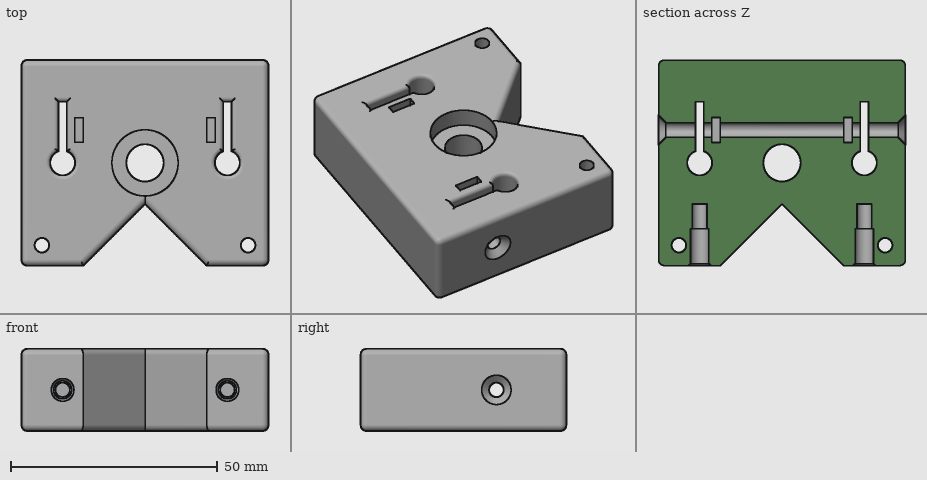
import cadquery as cq

length = 60.0
width = 50.0
height = 20.0
edge_radius = 1.5
top = height / 2
front = -width / 2

notch_half_width = 15.0

bore_diameter = 9.0
counterbore_diameter = 16.1
counterbore_depth = 5.0

keyhole_x = 20.0
keyhole_diameter = 6.0
keyhole_slot_width = 2.0
keyhole_slot_end = 14.8
keyhole_rounding = 1.0

screw_diameter = 3.5
corner_hole_x = 25.0
corner_hole_y = -20.0

cross_hole_y = 8.0
countersink_diameter = 7.15
countersink_angle = 90
nut_pocket_x = 16.0
nut_pocket_thickness = 2.0
nut_pocket_width = 6.0
nut_pocket_depth = top + nut_pocket_width / 2

front_hole_x = 20.0
front_hole_diameter = 4.4
front_hole_depth = 9.0
front_pilot_depth = 15.0
front_mouth_diameter = 5.5
front_mouth_chamfer = (front_mouth_diameter - front_hole_diameter) / 2


def make_block():
    """Block with V notch: outer corners and all top and bottom edges rounded."""
    notch = (
        cq.Workplane("XY")
        .polyline([
            (-notch_half_width, front),
            (0, front + notch_half_width),
            (notch_half_width, front),
        ])
        .close()
        .extrude(height / 2, both=True)
    )
    block = cq.Workplane("XY").box(length, width, height).cut(notch)
    rounded = block.edges("|Z").edges("<X or >X").add(block.faces("<Z or >Z").edges())
    return rounded.fillet(edge_radius)


def make_keyhole(x):
    """Solid in the shape of a keyhole through the full height."""
    keyhole = (
        cq.Workplane("XY")
        .circle(keyhole_diameter / 2)
        .extrude(height / 2, both=True)
        .union(
            cq.Workplane("XY")
            .center(0, keyhole_slot_end / 2)
            .rect(keyhole_slot_width, keyhole_slot_end)
            .extrude(height / 2, both=True)
        )
    )
    return keyhole.translate((x, 0, 0))


def round_keyhole_rims(part):
    """Round the edges where the keyholes meet the top face."""
    reach = keyhole_slot_end + keyhole_diameter
    half = keyhole_diameter / 2 + keyhole_rounding
    margin = 0.05
    for x in (-keyhole_x, keyhole_x):
        rim = cq.selectors.BoxSelector(
            (x - half, -reach, top - margin), (x + half, reach, top + margin)
        )
        part = part.edges(rim).fillet(keyhole_rounding)
    return part


def make_front_hole(x):
    """Stepped blind hole along Y, opening at the front face."""
    face = cq.Workplane("XZ", origin=(x, front, 0))
    hole = face.circle(front_hole_diameter / 2).extrude(-front_hole_depth)
    pilot = face.circle(screw_diameter / 2).extrude(-front_pilot_depth)
    mouth = face.circle(front_mouth_diameter / 2).extrude(-front_mouth_chamfer, taper=45)
    return hole.union(pilot).union(mouth)


result = make_block()

for x in (-keyhole_x, keyhole_x):
    result = result.cut(make_keyhole(x))
result = round_keyhole_rims(result)

result = (
    result.faces(">Z")
    .workplane(origin=(0, 0, top))
    .cboreHole(bore_diameter, counterbore_diameter, counterbore_depth)
)

corner_points = [(-corner_hole_x, corner_hole_y), (corner_hole_x, corner_hole_y)]
result = (
    result.faces(">Z")
    .workplane(origin=(0, 0, top))
    .pushPoints(corner_points)
    .hole(screw_diameter)
)

for side in ("<X", ">X"):
    result = (
        result.faces(side)
        .workplane(origin=(0, cross_hole_y, 0))
        .cskHole(screw_diameter, countersink_diameter, countersink_angle)
    )

for x in (-nut_pocket_x, nut_pocket_x):
    pocket = (
        cq.Workplane("XY", origin=(x, cross_hole_y, top))
        .rect(nut_pocket_thickness, nut_pocket_width)
        .extrude(-nut_pocket_depth)
    )
    result = result.cut(pocket)

for x in (-front_hole_x, front_hole_x):
    result = result.cut(make_front_hole(x))